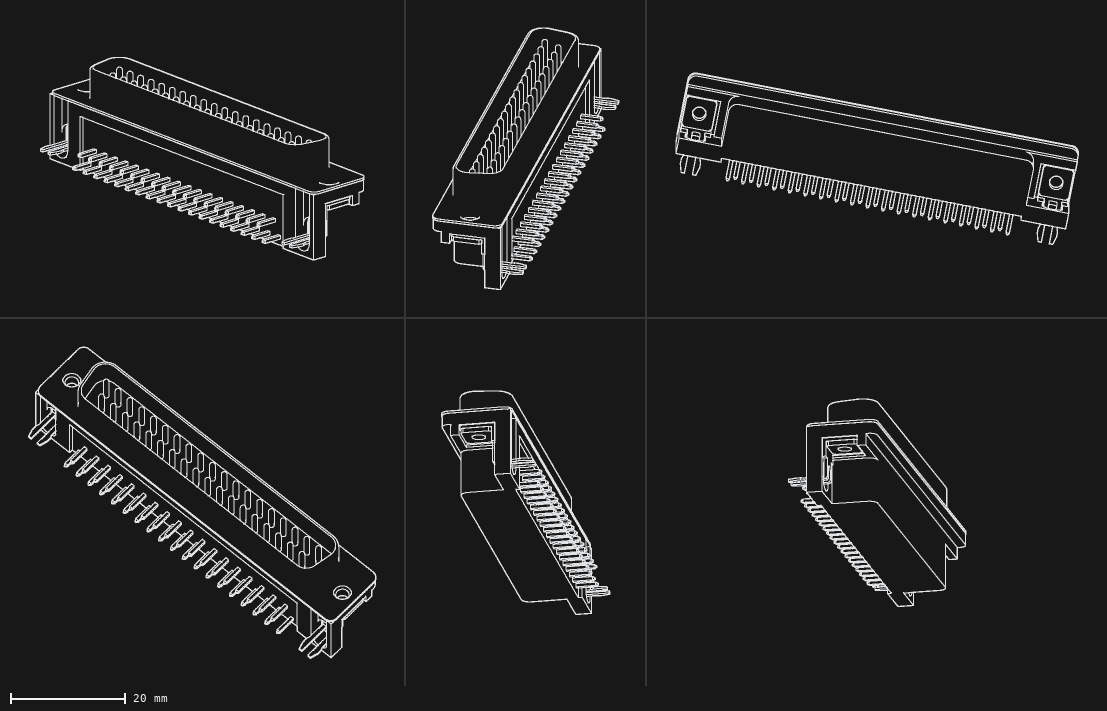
import cadquery as cq
import math


length = 69.3
height = 18.5
flange_depth = 12.55
flange_top = 12.5
flange_thickness = 0.4
flange_corner = 1.4
front = -flange_depth / 2
flange_bottom = flange_top - flange_thickness

shell_half_depth = 4.65
shell_half_length = 28.0
shell_slant = 10.0
shell_corner = 2.9
shell_wall = 0.55
shell_rim_round = 0.54
shell_foot_round = 0.5

bar_bottom = 10.0
body_inset = 0.1
body_front = front + body_inset
body_half_length = length / 2 - body_inset
body_back = 4.45
core_half_length = 27.05
core_corner = 1.5
shelf_half_length = 28.4
shelf_bottom = 7.9
shelf_top = 8.3
pocket_top = 9.8
pocket_back = 2.9
pocket_front = -3.4
panel_half_length = 26.6
panel_depth = 0.7

screw_x = 31.7
screw_radius = 1.2
counterbore_radius = 1.6
counterbore_bottom = 11.1
rim_round = 0.55
nut_half = 2.7
nut_corner = 0.4
nut_bottom = 8.3

strap_thickness = 0.6
strap_width = 5.3
strap_corner = 0.7
arms_width = 3.1
arms_top = 6.45
arms_gap = 1.4
gap_top = 5.4
leg_thickness = 0.4
leg_bottom = 2.7
leg_length = 3.55
barb_start = 0.7
barb_flat_start = 1.25
barb_flat_end = 2.1
leg_root_half_width = 1.5
barb_half_width = 1.7
leg_tip_half_width = 1.3
slot_width = 3.6
slot_depth = 1.8
slot_arc_low = 2.8
slot_arc_high = 4.85

pins_long_row = 19
pins_short_row = pins_long_row - 1
long_row_span = 49.7
pin_pitch = long_row_span / (pins_long_row - 1)
contact_radius = 0.5
contact_row_y = 1.4
contact_dome = 0.45
contact_top = 17.75
tail_width = 0.6
tail_length = 3.2
tail_taper = 0.4
tail_tip_width = 0.2
tail_low_z = 1.5
tail_high_z = 4.3


def block(x0, x1, y0, y1, z0, z1):
    """Axis-aligned box between two opposite corners."""
    return cq.Workplane("XY").box(x1 - x0, y1 - y0, z1 - z0, centered=False).translate((x0, y0, z0))


def d_prism(inset, z0, z1):
    """D-shaped prism, inset from the outer face of the shell."""
    slope = math.tan(math.radians(shell_slant))
    half_depth = shell_half_depth - inset
    middle = shell_half_length - inset / math.cos(math.radians(shell_slant))
    wide = middle + half_depth * slope
    narrow = middle - half_depth * slope
    outline = [(-narrow, -half_depth), (narrow, -half_depth), (wide, half_depth), (-wide, half_depth)]
    prism = cq.Workplane("XY").workplane(offset=z0).polyline(outline).close().extrude(z1 - z0)
    return prism.edges("|Z").fillet(shell_corner - inset)


def flange_and_shell():
    """Flange plate with the hollow D-shaped shell standing on it."""
    flange = block(-length / 2, length / 2, front, -front, flange_bottom, flange_top)
    flange = flange.edges("|Z").fillet(flange_corner)
    shell = flange.union(d_prism(0, flange_bottom, height))
    shell = shell.faces(">Z").edges().fillet(shell_rim_round)
    reach = shell_half_length + shell_corner
    level = flange_thickness / 2
    foot = cq.selectors.BoxSelector(
        (-reach, -shell_half_depth - level, flange_top - level),
        (reach, shell_half_depth + level, flange_top + level),
    )
    shell = shell.edges(foot).fillet(shell_foot_round)
    return shell.cut(d_prism(shell_wall, flange_top, height))


def body():
    """Plastic body: top bar, core and front plate, with a pocket left open at each end for the nut."""
    bar = block(-body_half_length, body_half_length, body_front, -body_front, bar_bottom, flange_bottom)
    bar = bar.edges("|Z and >Y").fillet(flange_corner)
    core = block(-core_half_length, core_half_length, body_front, body_back, 0, bar_bottom)
    core = core.edges("|Z and >Y").fillet(core_corner)
    shelf = block(-shelf_half_length, shelf_half_length, pocket_front, pocket_back, shelf_bottom, shelf_top)
    front_plate = block(-body_half_length, body_half_length, body_front, pocket_front, 0, bar_bottom)
    ceiling = block(-body_half_length, body_half_length, body_front, body_back, pocket_top, bar_bottom)
    rear_tab = block(-body_half_length, body_half_length, pocket_back, body_back, shelf_bottom, bar_bottom)
    solid = bar.union(core).union(shelf).union(front_plate).union(ceiling).union(rear_tab)
    panel = block(
        -panel_half_length, panel_half_length, body_front, body_front + panel_depth, 0, bar_bottom
    )
    return solid.cut(panel)


def board_lock_slot(x):
    """Groove down the front plate, with an oblong window through the plate at its lower end."""
    half = slot_width / 2
    groove = block(x - half, x + half, body_front, body_front + slot_depth, slot_arc_low, flange_bottom)
    window = (
        cq.Workplane("XZ", origin=(x, pocket_front, 0))
        .center(0, (slot_arc_low + slot_arc_high) / 2)
        .slot2D(slot_arc_high - slot_arc_low + slot_width, slot_width, 90)
        .extrude(pocket_front - body_front)
    )
    return groove.union(window)


def board_lock_strap(x):
    """L-shaped strap under the bar and behind the front plate, ending in two arms around a gap."""
    strap_back = pocket_front + strap_thickness
    half = strap_width / 2
    top_leg = block(x - half, x + half, pocket_front, pocket_back, pocket_top - strap_thickness, pocket_top)
    top_leg = top_leg.edges("|Z and >Y").fillet(strap_corner)
    upright = block(x - half, x + half, pocket_front, strap_back, arms_top, pocket_top)
    arms = block(x - arms_width / 2, x + arms_width / 2, pocket_front, strap_back, leg_bottom, arms_top)
    arms = arms.edges("|X and >Y and <Z").fillet(leg_thickness)
    gap_radius = arms_gap / 2
    gap = (
        cq.Workplane("XZ", origin=(x, strap_back, 0))
        .moveTo(-gap_radius, leg_bottom)
        .lineTo(-gap_radius, gap_top - gap_radius)
        .threePointArc((0, gap_top), (gap_radius, gap_top - gap_radius))
        .lineTo(gap_radius, leg_bottom)
        .close()
        .extrude(strap_thickness)
    )
    return top_leg.union(upright).union(arms).cut(gap)


def board_lock_leg(x, side):
    """Flat barbed leg reaching forward from the foot of one arm; side is -1 or 1."""
    outline = [
        (arms_gap / 2, pocket_front),
        (leg_root_half_width, pocket_front),
        (leg_root_half_width, front - barb_start),
        (barb_half_width, front - barb_flat_start),
        (barb_half_width, front - barb_flat_end),
        (leg_tip_half_width, front - leg_length),
        (arms_gap / 2, front - leg_length),
    ]
    points = [(x + side * offset, y) for offset, y in outline]
    return cq.Workplane("XY", origin=(0, 0, leg_bottom)).polyline(points).close().extrude(leg_thickness)


def nut(x):
    """Square nut under the strap, with chamfered corners."""
    square = block(x - nut_half, x + nut_half, -nut_half, nut_half, nut_bottom, pocket_top - strap_thickness)
    return square.edges("|Z").chamfer(nut_corner)


def screw_hole(x):
    """Rounded rim, counterbore and 45-degree seat, then the bore through the bar, strap and nut."""
    rim_radius = counterbore_radius + rim_round
    rim_bottom = flange_top - rim_round
    seat_drop = counterbore_radius - screw_radius
    arc_offset = rim_round * (1 - math.sqrt(0.5))
    profile = (
        cq.Workplane("XZ", origin=(x, 0, 0))
        .moveTo(0, nut_bottom)
        .lineTo(screw_radius, nut_bottom)
        .lineTo(screw_radius, counterbore_bottom - seat_drop)
        .lineTo(counterbore_radius, counterbore_bottom)
        .lineTo(counterbore_radius, rim_bottom)
        .threePointArc(
            (counterbore_radius + arc_offset, flange_top - arc_offset), (rim_radius, flange_top)
        )
        .lineTo(0, flange_top)
        .close()
    )
    return profile.revolve(360, (0, 0, 0), (0, 1, 0))


def row_positions(count):
    """X positions of a row of contacts, centred on the connector."""
    return [(i - (count - 1) / 2) * pin_pitch for i in range(count)]


def contact(x, y):
    """Round mating pin with a domed tip."""
    pin = cq.Workplane("XY", origin=(x, y, flange_bottom)).circle(contact_radius)
    return pin.extrude(contact_top - flange_bottom).faces(">Z").edges().fillet(contact_dome)


def tail(x, z):
    """Square solder tail with a tapered tip."""
    root = body_front + panel_depth
    shank_end = front - tail_length + tail_taper
    half = tail_width / 2
    shank = block(x - half, x + half, shank_end, root, z - half, z + half)
    tip = (
        cq.Workplane("XZ", origin=(x, shank_end, z))
        .rect(tail_width, tail_width)
        .workplane(offset=tail_taper)
        .rect(tail_tip_width, tail_tip_width)
        .loft()
    )
    return shank.union(tip)


result = flange_and_shell().union(body())
for screw in (-screw_x, screw_x):
    result = result.cut(board_lock_slot(screw)).union(board_lock_strap(screw)).union(nut(screw))
    for leg_side in (-1, 1):
        result = result.union(board_lock_leg(screw, leg_side))
    result = result.cut(screw_hole(screw))

for count, row_y, tail_z in (
    (pins_long_row, contact_row_y, tail_low_z),
    (pins_short_row, -contact_row_y, tail_high_z),
):
    for pin_x in row_positions(count):
        result = result.union(contact(pin_x, row_y)).union(tail(pin_x, tail_z))